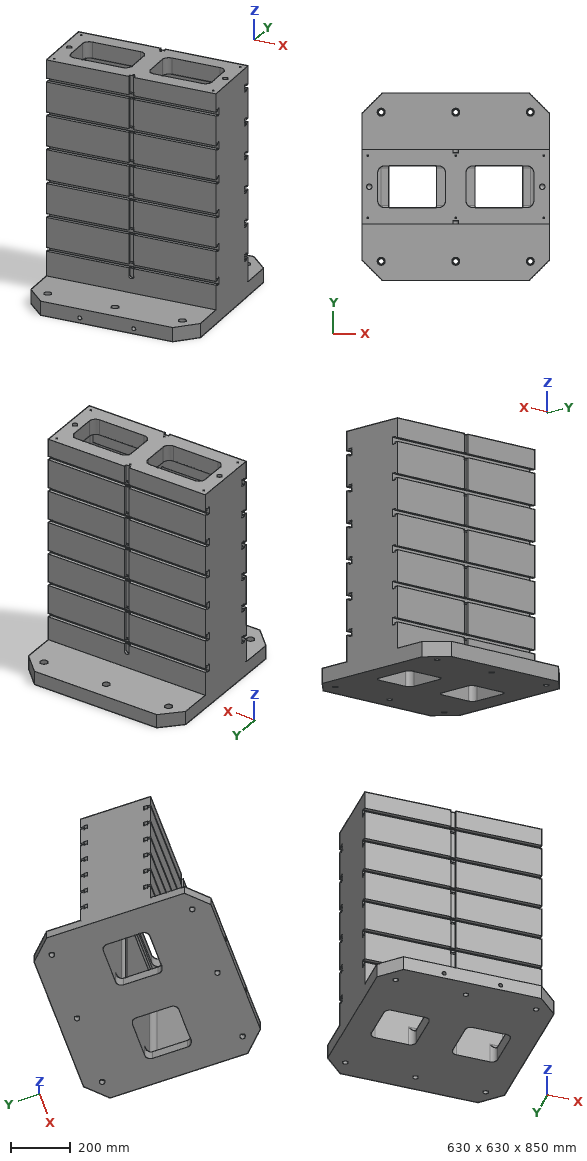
import cadquery as cq
import math

BASE_SIDE = 630.0
BASE_HEIGHT = 53.0
BASE_CORNER_CUT = 70.0

TOTAL_HEIGHT = 850.0
TOWER_DEPTH = 250.0
FACE_Y = TOWER_DEPTH / 2

T_SLOT_COUNT = 6
T_SLOT_PITCH = 125.0
LOWEST_T_SLOT_Z = 150.5
T_MOUTH_WIDTH = 14.0
T_HEAD_WIDTH = 25.0
T_LIP_DEPTH = 12.0
T_SLOT_DEPTH = 25.0

KEYWAY_WIDTH = 18.0
KEYWAY_DEPTH = 10.0
KEYWAY_BOTTOM_Z = 105.0

CAVITY_HALF_LENGTH = 270.0
CAVITY_DEPTH = 165.0
CAVITY_RADIUS = 20.0
CAVITY_FLOOR_Z = BASE_HEIGHT
BAY_SPACING = 8.5
RIB_GAP = 150.0
LINTEL_BOTTOM_Z = TOTAL_HEIGHT - 103.0

TOP_WALL = 60.0
MOUTH_INNER_X = 34.0
MOUTH_OUTER_X = 262.0
MOUTH_DEPTH = 140.0
MOUTH_RADIUS = 25.0

WINDOW_LENGTH = 160.0
WINDOW_X = 144.5
WINDOW_RADIUS = CAVITY_RADIUS

BOLT_SPACING = 250.0
BOLT_DIAMETER = 18.0
BOLT_HEAD_DIAMETER = 26.0
BOLT_HEAD_DEPTH = 20.0

DRILL_POINT_ANGLE = 118
LIFTING_DIAMETER = 18.0
LIFTING_DEPTH = 40.0
LIFTING_X = 290.0
PIN_DIAMETER = 5.0
PIN_DEPTH = 15.0
PIN_X = 295.0
PIN_Y = 104.5
SIDE_HOLE_DIAMETER = 14.0
SIDE_HOLE_DEPTH = 30.0
SIDE_HOLE_X = 100.0
SIDE_HOLE_Z = 19.5


def box(length, depth, bottom, top, x=0, y=0):
    """Upright box centred on (x, y) between two heights."""
    height = top - bottom
    return cq.Workplane("XY").box(length, depth, height).translate((x, y, bottom + height / 2))


def rounded_box(length, depth, bottom, top, radius, x=0):
    """Upright box centred on (x, 0) with rounded vertical edges."""
    return box(length, depth, bottom, top, x).edges("|Z").fillet(radius)


def drilled_hole(diameter, depth, entry, direction):
    """Blind drill: a cylinder ending in a cone."""
    radius = diameter / 2
    tip = radius / math.tan(math.radians(DRILL_POINT_ANGLE / 2))
    start = cq.Vector(*entry)
    axis = cq.Vector(*direction)
    shaft = cq.Solid.makeCylinder(radius, depth, start, axis)
    cone = cq.Solid.makeCone(radius, 0, tip, start + axis * depth, axis)
    return cq.Workplane(shaft).union(cq.Workplane(cone))


def base_plate():
    return box(BASE_SIDE, BASE_SIDE, 0, BASE_HEIGHT).edges("|Z").chamfer(BASE_CORNER_CUT)


def tower():
    return box(BASE_SIDE, TOWER_DEPTH, 0, TOTAL_HEIGHT)


def t_slot(side, z):
    """T-slot along X; side is -1 or +1 for the -Y or +Y face."""
    mouth = box(BASE_SIDE, T_SLOT_DEPTH, z - T_MOUTH_WIDTH / 2, z + T_MOUTH_WIDTH / 2,
                y=side * (FACE_Y - T_SLOT_DEPTH / 2))
    head = box(BASE_SIDE, T_SLOT_DEPTH - T_LIP_DEPTH, z - T_HEAD_WIDTH / 2, z + T_HEAD_WIDTH / 2,
               y=side * (FACE_Y - (T_LIP_DEPTH + T_SLOT_DEPTH) / 2))
    return mouth.union(head)


def keyway(side):
    """Vertical slot with a round lower end, open at the top."""
    radius = KEYWAY_WIDTH / 2
    middle_y = side * (FACE_Y - KEYWAY_DEPTH / 2)
    end_z = KEYWAY_BOTTOM_Z + radius
    slot = box(KEYWAY_WIDTH, KEYWAY_DEPTH, end_z, TOTAL_HEIGHT, y=middle_y)
    start = cq.Vector(0, middle_y - KEYWAY_DEPTH / 2, end_z)
    end = cq.Solid.makeCylinder(radius, KEYWAY_DEPTH, start, cq.Vector(0, 1, 0))
    return slot.union(cq.Workplane(end))


def cavity():
    """Hollow with filleted floor, narrowed by a lintel at the top and by ribs in the middle."""
    ceiling = TOTAL_HEIGHT - TOP_WALL
    length = 2 * CAVITY_HALF_LENGTH
    hollow = rounded_box(length, CAVITY_DEPTH, CAVITY_FLOOR_Z, ceiling, CAVITY_RADIUS)
    hollow = hollow.faces("<Z").edges().fillet(CAVITY_RADIUS)
    passage = box(length, RIB_GAP, CAVITY_FLOOR_Z, ceiling)
    bay_length = CAVITY_HALF_LENGTH - BAY_SPACING / 2
    for side in (-1, 1):
        x = side * (BAY_SPACING + bay_length) / 2
        bay = rounded_box(bay_length, CAVITY_DEPTH, CAVITY_FLOOR_Z, LINTEL_BOTTOM_Z, CAVITY_RADIUS, x)
        passage = passage.union(bay)
    return hollow.intersect(passage)


def top_mouth(side):
    """Rounded opening through the top wall."""
    length = MOUTH_OUTER_X - MOUTH_INNER_X
    x = side * (MOUTH_OUTER_X + MOUTH_INNER_X) / 2
    return rounded_box(length, MOUTH_DEPTH, TOTAL_HEIGHT - TOP_WALL, TOTAL_HEIGHT, MOUTH_RADIUS, x)


def floor_window(side):
    """Rounded opening through the cavity floor, reaching past the floor fillet."""
    top = CAVITY_FLOOR_Z + CAVITY_RADIUS
    return rounded_box(WINDOW_LENGTH, CAVITY_DEPTH, 0, top, WINDOW_RADIUS, side * WINDOW_X)


def bolt_hole(x, y):
    """Through hole in the base with a counterbore from above."""
    shank = cq.Workplane("XY").center(x, y).circle(BOLT_DIAMETER / 2).extrude(BASE_HEIGHT)
    head_plane = cq.Workplane("XY", origin=(x, y, BASE_HEIGHT - BOLT_HEAD_DEPTH))
    return shank.union(head_plane.circle(BOLT_HEAD_DIAMETER / 2).extrude(BOLT_HEAD_DEPTH))


def top_hole(diameter, depth, x, y):
    return drilled_hole(diameter, depth, (x, y, TOTAL_HEIGHT), (0, 0, -1))


def side_hole(x):
    return drilled_hole(SIDE_HOLE_DIAMETER, SIDE_HOLE_DEPTH, (x, -BASE_SIDE / 2, SIDE_HOLE_Z), (0, 1, 0))


result = base_plate().union(tower()).cut(cavity())

for side in (-1, 1):
    for i in range(T_SLOT_COUNT):
        result = result.cut(t_slot(side, LOWEST_T_SLOT_Z + i * T_SLOT_PITCH))
    result = result.cut(keyway(side))
    result = result.cut(top_mouth(side))
    result = result.cut(floor_window(side))
    result = result.cut(top_hole(LIFTING_DIAMETER, LIFTING_DEPTH, side * LIFTING_X, 0))
    result = result.cut(side_hole(side * SIDE_HOLE_X))
    for column in (-1, 0, 1):
        result = result.cut(bolt_hole(column * BOLT_SPACING, side * BOLT_SPACING))
        result = result.cut(top_hole(PIN_DIAMETER, PIN_DEPTH, column * PIN_X, side * PIN_Y))